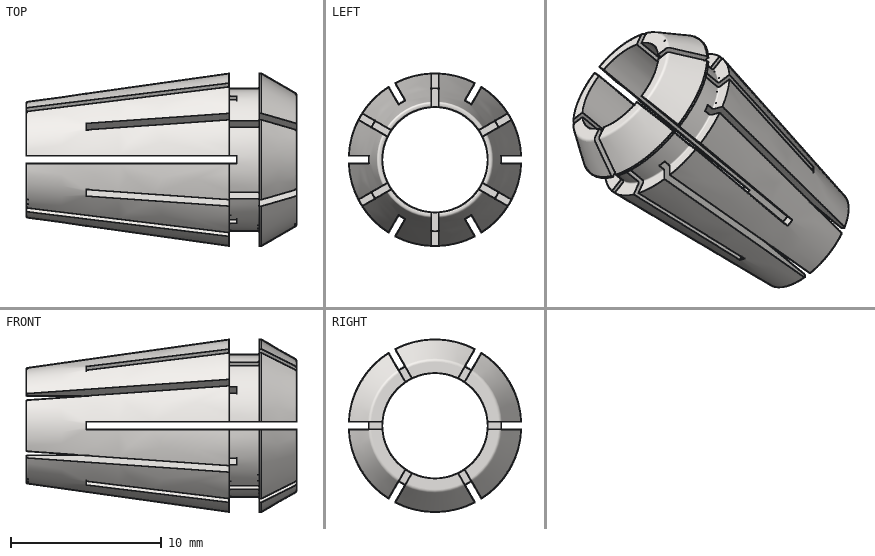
import cadquery as cq
import math


total_length = 18.0
taper_length = 13.5
groove_end = 15.5
rim_width = 0.15

bore_diameter = 7.0
largest_diameter = 11.5
groove_diameter = 9.5
taper_half_angle = 8.0
head_half_angle = 30.0

nose_fillet = 0.15
groove_fillet = 0.1
head_fillet = 0.25

slot_width = 0.5
slots_per_end = 6
nose_slot_end = 14.0
head_slot_start = 4.0
slot_pitch = 360.0 / slots_per_end

bore_radius = bore_diameter / 2
largest_radius = largest_diameter / 2
groove_radius = groove_diameter / 2
nose_radius = largest_radius - taper_length * math.tan(math.radians(taper_half_angle))
rim_end = groove_end + rim_width
head_face_radius = largest_radius - (total_length - rim_end) * math.tan(math.radians(head_half_angle))


def circle_edge_at(x, radius):
    """Select the circular edge around the axis at position x with the given radius."""
    tolerance = 0.01
    return cq.selectors.BoxSelector(
        (x - tolerance, -radius - tolerance, -radius - tolerance),
        (x + tolerance, radius + tolerance, radius + tolerance),
        boundingbox=True,
    )


def solid_body():
    """Turned outside shape: long taper, groove, rim and head cone."""
    body = (
        cq.Workplane("XY")
        .polyline([
            (0, 0),
            (0, nose_radius),
            (taper_length, largest_radius),
            (taper_length, groove_radius),
            (groove_end, groove_radius),
            (groove_end, largest_radius),
            (rim_end, largest_radius),
            (total_length, head_face_radius),
            (total_length, 0),
        ])
        .close()
        .revolve(360, (0, 0, 0), (1, 0, 0))
    )
    body = body.edges(circle_edge_at(0, nose_radius)).fillet(nose_fillet)
    for groove_wall in (taper_length, groove_end):
        body = body.edges(circle_edge_at(groove_wall, groove_radius)).fillet(groove_fillet)
    return body.edges(circle_edge_at(total_length, head_face_radius)).fillet(head_fillet)


def hollow_body():
    """Turned body with a straight through bore, rounded at the nose."""
    bore = cq.Workplane("YZ").circle(bore_radius).extrude(total_length)
    return solid_body().cut(bore).edges(circle_edge_at(0, bore_radius)).fillet(nose_fillet)


def slots(start, end, first_angle):
    """Ring of radial slots between two axial positions, angles measured from +Y about the axis."""
    blade = cq.Workplane("XY").box(
        end - start, largest_radius, slot_width, centered=(False, False, True)
    ).translate((start, 0, 0))
    ring = cq.Workplane("XY")
    for index in range(slots_per_end):
        angle = first_angle + index * slot_pitch
        ring = ring.add(blade.rotate((0, 0, 0), (1, 0, 0), angle))
    return ring.combine()


nose_slots = slots(0, nose_slot_end, slot_pitch / 2)
head_slots = slots(head_slot_start, total_length, 0)

result = hollow_body().cut(nose_slots).cut(head_slots)